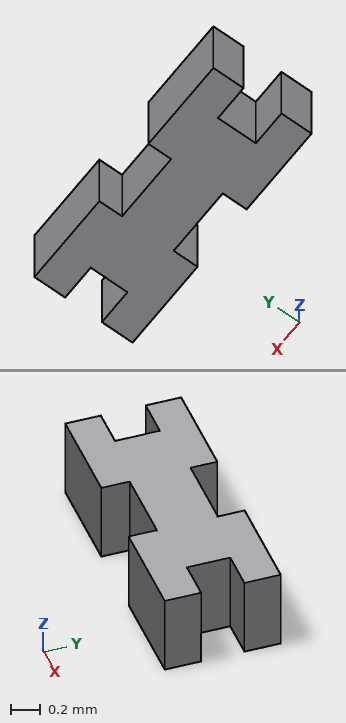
import cadquery as cq

length = 2.0
width = 0.83
height = 0.6

head_length = 0.725
waist_length = length - 2 * head_length
front_notch_depth = 0.202
back_notch_depth = 0.192

slot_depth = 0.285
left_slot_width = 0.32
right_slot_width = 0.31


def block(size_x, size_y, center_x, center_y):
    """Full-height block centred at the given place in plan."""
    return cq.Workplane("XY").box(size_x, size_y, height).translate((center_x, center_y, 0))


def side_notch(side, depth):
    """Notch cut into the front (side = -1) or back (side = 1) face."""
    return block(waist_length, depth, 0, side * (width - depth) / 2)


def end_slot(side, slot_width):
    """Slot cut into the left (side = -1) or right (side = 1) end."""
    return block(slot_depth, slot_width, side * (length - slot_depth) / 2, 0)


result = block(length, width, 0, 0)
for side, depth in ((-1, front_notch_depth), (1, back_notch_depth)):
    result = result.cut(side_notch(side, depth))
for side, slot_width in ((-1, left_slot_width), (1, right_slot_width)):
    result = result.cut(end_slot(side, slot_width))